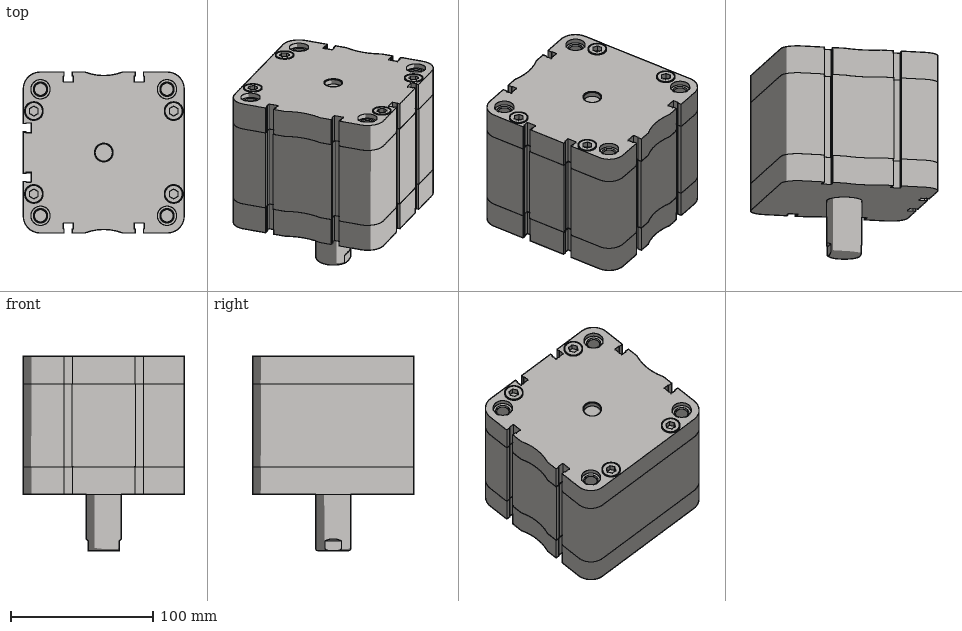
import cadquery as cq
import math


total_length = 137.0
side = 113.5
corner_radius = 12.0
cap_height = 19.5
barrel_height = 58.4
body_height = 2 * cap_height + barrel_height
half_side = side / 2

hollow_depth = 2.5
cap_hollow_half_width = 13.3
barrel_hollow_half_width = 13.4

slot_mouth_outer_edge = 28.0
cap_mouth_width = 6.0
barrel_mouth_width = 5.8
cap_channel_width = 7.0
barrel_channel_width = 6.6
y_slot_depth = 7.0
y_slot_lip = 3.0
cap_x_slot_offset = 17.3
barrel_x_slot_offset = 17.5
cap_x_slot_depth = 6.0
barrel_x_slot_depth = 5.5
x_slot_lip = 2.0

mount_offset = 44.5
mount_counterbore_diameter = 13.5
mount_counterbore_depth = 3.3
mount_chamfer_diameter = 10.1
mount_bore_diameter = 8.6

screw_x = 49.2
screw_y = 29.2
screw_hole_diameter = 13.2
screw_top_diameter = 12.0
hex_across_flats = 6.0
hex_depth = 4.1

center_rim_diameter = 13.2
center_bore_diameter = 12.0
center_depth = 4.0

rod_diameter = 25.0
rod_edge_radius = 1.9
flat_across = 22.0
flat_length = 7.0


def slot_cutter(mouth_width, channel_width, lip, depth, height):
    """Stepped slot open at Y = 0 and running inward along -Y."""
    mouth = cq.Workplane("XY").rect(mouth_width, 2 * lip).extrude(height)
    channel = (
        cq.Workplane("XY")
        .center(0, -(lip + depth) / 2)
        .rect(channel_width, depth - lip)
        .extrude(height)
    )
    return mouth.union(channel)


def hollow_cutter(half_width, height):
    """Circular cylinder whose arc crosses the +Y face over the given half width."""
    radius = (half_width**2 + hollow_depth**2) / (2 * hollow_depth)
    axis_y = half_side - hollow_depth + radius
    return cq.Workplane("XY").center(0, axis_y).circle(radius).extrude(height)


def make_block(height, hollow_half_width, mouth_width, channel_width, x_slot_offset, x_slot_depth):
    """Square block with round corners, hollows in the Y faces and slots in the Y and -X faces."""
    block = cq.Workplane("XY").rect(side, side).extrude(height).edges("|Z").fillet(corner_radius)

    y_slot_offset = slot_mouth_outer_edge - mouth_width / 2
    y_slot = slot_cutter(mouth_width, channel_width, y_slot_lip, y_slot_depth, height)
    hollow = hollow_cutter(hollow_half_width, height)
    for face_angle in (0, 180):
        block = block.cut(hollow.rotate((0, 0, 0), (0, 0, 1), face_angle))
        for sign in (-1, 1):
            slot = y_slot.translate((sign * y_slot_offset, half_side, 0))
            block = block.cut(slot.rotate((0, 0, 0), (0, 0, 1), face_angle))

    x_slot = slot_cutter(mouth_width, channel_width, x_slot_lip, x_slot_depth, height)
    x_slot = x_slot.rotate((0, 0, 0), (0, 0, 1), 90)
    for sign in (-1, 1):
        block = block.cut(x_slot.translate((-half_side, sign * x_slot_offset, 0)))
    return block


def make_cap():
    return make_block(
        cap_height,
        cap_hollow_half_width,
        cap_mouth_width,
        cap_channel_width,
        cap_x_slot_offset,
        cap_x_slot_depth,
    )


def make_barrel():
    barrel = make_block(
        barrel_height,
        barrel_hollow_half_width,
        barrel_mouth_width,
        barrel_channel_width,
        barrel_x_slot_offset,
        barrel_x_slot_depth,
    )
    return barrel.translate((0, 0, cap_height))


def make_bearing_cap():
    """Lower cap with the bore that guides the rod."""
    rod_bore = cq.Workplane("XY").circle(rod_diameter / 2).extrude(cap_height)
    return make_cap().cut(rod_bore)


def turned_cutter(points):
    """Revolve a (radius, height) outline around the Z axis."""
    return cq.Workplane("XZ").polyline(points).close().revolve(360, (0, 0), (0, 1))


def mount_hole_cutter():
    """Counterbored, countersunk hole through the end cap, with its rim at Z = 0."""
    counterbore_radius = mount_counterbore_diameter / 2
    chamfer_radius = mount_chamfer_diameter / 2
    bore_radius = mount_bore_diameter / 2
    chamfer_end = mount_counterbore_depth + chamfer_radius - bore_radius
    return turned_cutter([
        (0, 0),
        (counterbore_radius, 0),
        (counterbore_radius, -mount_counterbore_depth),
        (chamfer_radius, -mount_counterbore_depth),
        (bore_radius, -chamfer_end),
        (bore_radius, -cap_height),
        (0, -cap_height),
    ])


def screw_cutter():
    """Bevelled groove around a screw head and its hexagon socket, with the head top at Z = 0."""
    hole_radius = screw_hole_diameter / 2
    top_radius = screw_top_diameter / 2
    groove = turned_cutter([
        (top_radius, 0),
        (hole_radius, 0),
        (hole_radius, top_radius - hole_radius),
    ])
    hex_across_corners = hex_across_flats / math.cos(math.pi / 6)
    socket = cq.Workplane("XY").polygon(6, hex_across_corners).extrude(-hex_depth)
    return groove.union(socket.rotate((0, 0, 0), (0, 0, 1), 90))


def center_recess_cutter():
    """Blind round recess with a 45 degree chamfered rim at Z = 0."""
    rim_radius = center_rim_diameter / 2
    bore_radius = center_bore_diameter / 2
    return turned_cutter([
        (0, 0),
        (rim_radius, 0),
        (bore_radius, bore_radius - rim_radius),
        (bore_radius, -center_depth),
        (0, -center_depth),
    ])


def make_end_cap():
    """Upper cap with mounting holes, screw heads and the centre recess."""
    cap = make_cap().translate((0, 0, body_height - cap_height))
    cap = cap.cut(center_recess_cutter().translate((0, 0, body_height)))
    mount_hole = mount_hole_cutter()
    screw = screw_cutter()
    for sign_x in (-1, 1):
        for sign_y in (-1, 1):
            cap = cap.cut(mount_hole.translate((sign_x * mount_offset, sign_y * mount_offset, body_height)))
            cap = cap.cut(screw.translate((sign_x * screw_x, sign_y * screw_y, body_height)))
    return cap


def make_rod():
    """Round rod through the bearing cap; each wrench flat ends in a 45 degree shoulder."""
    tip_z = body_height - total_length
    rod_radius = rod_diameter / 2
    rod = (
        cq.Workplane("XY", origin=(0, 0, tip_z))
        .circle(rod_radius)
        .extrude(cap_height - tip_z)
        .faces("<Z")
        .edges()
        .fillet(rod_edge_radius)
    )
    flat_x = flat_across / 2
    flat_top_z = tip_z + flat_length
    shoulder_top_z = flat_top_z + rod_radius - flat_x
    flat_cutter = (
        cq.Workplane("XZ")
        .polyline([
            (flat_x, tip_z),
            (rod_radius, tip_z),
            (rod_radius, shoulder_top_z),
            (flat_x, flat_top_z),
        ])
        .close()
        .extrude(rod_radius, both=True)
    )
    return rod.cut(flat_cutter).cut(flat_cutter.mirror("YZ"))


bearing_cap = make_bearing_cap()
barrel = make_barrel()
end_cap = make_end_cap()
rod = make_rod()

result = cq.Compound.makeCompound([bearing_cap.val(), barrel.val(), end_cap.val(), rod.val()])